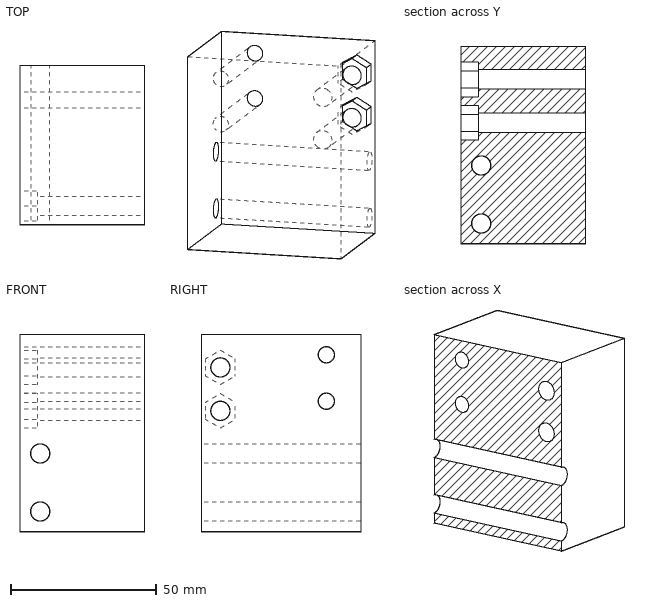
import cadquery as cq

width = 43.0
depth = 55.0
height = 68.0

front_hole_diameter = 6.5
front_hole_x = 7.0
front_hole_heights = (7.0, 27.0)

side_hole_diameter = 5.5
side_hole_y = depth - 12.0
side_hole_heights = (height - 7.0, height - 23.0)

bolt_hole_diameter = 6.5
bolt_y = 6.5
bolt_heights = (height - 11.35, height - 26.3)
nut_corner_diameter = 11.8
nut_pocket_depth = 6.0


def hole_along_x(diameter, y, z):
    """Cylinder running the full width of the block."""
    return cq.Workplane("YZ").center(y, z).circle(diameter / 2).extrude(width)


def hole_along_y(diameter, x, z):
    """Cylinder running the full depth of the block."""
    return cq.Workplane("XZ").center(x, z).circle(diameter / 2).extrude(-depth)


def nut_pocket(y, z):
    """Hexagonal prism entering from the -X face, with corners up and down."""
    hexagon = cq.Workplane("YZ").center(y, z).transformed(rotate=(0, 0, 90))
    return hexagon.polygon(6, nut_corner_diameter).extrude(nut_pocket_depth)


result = cq.Workplane("XY").box(width, depth, height, centered=False)

for z in front_hole_heights:
    result = result.cut(hole_along_y(front_hole_diameter, front_hole_x, z))

for z in side_hole_heights:
    result = result.cut(hole_along_x(side_hole_diameter, side_hole_y, z))

for z in bolt_heights:
    result = result.cut(hole_along_x(bolt_hole_diameter, bolt_y, z))
    result = result.cut(nut_pocket(bolt_y, z))